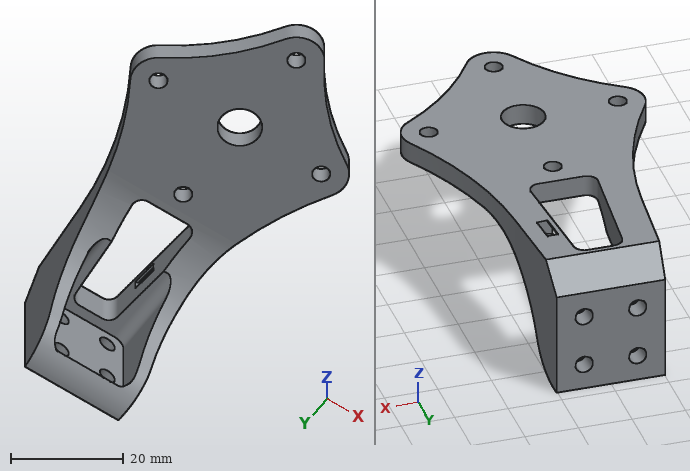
import cadquery as cq
import math

total_length = 75.15
total_width = 45.3
total_height = 25.0
plate_thickness = 4.0
motor_hole_offset = 17.7
lobe_radius = total_width / 2 - motor_hole_offset
screw_diameter = 3.2
centre_hole_diameter = 8.0
front_arc_radius = 48.5

back_y = total_length - motor_hole_offset - lobe_radius
arm_back_half_width = 10.15
arm_taper = math.radians(5)
side_arc_radius = 69.15
top_chamfer = 5.0

foot_radius = 10.0
arch_radius = 24.05

window_wall = 6
window_back_y = back_y - window_wall
window_length = 24.0
window_back_half_width = 4.35
window_corner_radius = 2.0

mount_size = 17.0
mount_corner_radius = 2.0
mount_wall = 4.0
mount_hole_pitch = 10.0

tie_inner_radius = 1.0
tie_outer_radius = 3
tie_width = 5.0
tie_setback = 12.8
tie_back_y = back_y - tie_setback

bottom_z = plate_thickness - total_height
mount_z = bottom_z + foot_radius


def toward(start, angle, distance):
    """Point at a distance from start in the direction of angle (radians)."""
    return (start[0] + distance * math.cos(angle), start[1] + distance * math.sin(angle))


def mirrored(point):
    return (-point[0], point[1])


def make_outline():
    """Plan outline of plate and arm, extruded over the full height."""
    side_lobe = (motor_hole_offset, 0)
    front_lobe = (0, -motor_hole_offset)

    half_gap = motor_hole_offset / math.sqrt(2)
    half_sweep = math.asin(half_gap / (front_arc_radius + lobe_radius))
    diagonal = math.radians(-45)
    side_lobe_end = toward(side_lobe, diagonal - half_sweep, lobe_radius)
    front_lobe_start = toward(front_lobe, diagonal + half_sweep, lobe_radius)
    front_arc_center = toward(side_lobe, diagonal - half_sweep, lobe_radius + front_arc_radius)
    front_arc_middle = toward(front_arc_center, math.radians(135), front_arc_radius)

    back_corner = (arm_back_half_width, back_y)
    across = (back_corner[0] - side_lobe[0]) * math.cos(arm_taper)
    across += (back_corner[1] - side_lobe[1]) * math.sin(arm_taper)
    lobe_angle = arm_taper + math.acos((across + side_arc_radius) / (lobe_radius + side_arc_radius))
    side_arc_center = toward(side_lobe, lobe_angle, lobe_radius + side_arc_radius)
    side_arc_start = toward(side_arc_center, arm_taper + math.pi, side_arc_radius)
    side_arc_middle = toward(side_arc_center, (arm_taper + lobe_angle) / 2 + math.pi, side_arc_radius)
    side_lobe_start = toward(side_lobe, lobe_angle, lobe_radius)

    return (
        cq.Workplane("XY", origin=(0, 0, bottom_z))
        .moveTo(*mirrored(back_corner))
        .lineTo(*back_corner)
        .lineTo(*side_arc_start)
        .threePointArc(side_arc_middle, side_lobe_start)
        .threePointArc(toward(side_lobe, 0, lobe_radius), side_lobe_end)
        .threePointArc(front_arc_middle, front_lobe_start)
        .threePointArc(toward(front_lobe, -math.pi / 2, lobe_radius), mirrored(front_lobe_start))
        .threePointArc(mirrored(front_arc_middle), mirrored(side_lobe_end))
        .threePointArc(toward(mirrored(side_lobe), math.pi, lobe_radius), mirrored(side_lobe_start))
        .threePointArc(mirrored(side_arc_middle), mirrored(side_arc_start))
        .close()
        .extrude(total_height)
    )


def make_side_profile():
    """Side profile (Y, Z) of plate, arch, foot and chamfer, spanning the full width."""
    foot_center = (back_y, mount_z)
    rise = -arch_radius - mount_z
    join_angle = math.asin(rise / (foot_radius + arch_radius))
    arch_center = toward(foot_center, math.pi - join_angle, foot_radius + arch_radius)
    join = toward(foot_center, math.pi - join_angle, foot_radius)
    foot_middle = toward(foot_center, -math.pi / 2 - (math.pi / 2 + join_angle) / 2, foot_radius)
    arch_middle = toward(arch_center, (math.pi / 2 - join_angle) / 2, arch_radius)
    front_y = -motor_hole_offset - lobe_radius
    half_width = motor_hole_offset + lobe_radius
    return (
        cq.Workplane("YZ")
        .moveTo(front_y, plate_thickness)
        .lineTo(back_y - top_chamfer, plate_thickness)
        .lineTo(back_y, plate_thickness - top_chamfer)
        .lineTo(back_y, bottom_z)
        .threePointArc(foot_middle, join)
        .threePointArc(arch_middle, (arch_center[0], 0))
        .lineTo(front_y, 0)
        .close()
        .extrude(half_width, both=True)
    )


def make_motor_holes():
    offsets = [
        (motor_hole_offset, 0),
        (0, motor_hole_offset),
        (-motor_hole_offset, 0),
        (0, -motor_hole_offset),
    ]
    screws = cq.Workplane("XY").pushPoints(offsets).circle(screw_diameter / 2).extrude(plate_thickness)
    centre = cq.Workplane("XY").circle(centre_hole_diameter / 2).extrude(plate_thickness)
    return screws.union(centre)


def make_window():
    front_half_width = window_back_half_width + window_length * math.tan(arm_taper)
    front_y = window_back_y - window_length
    return (
        cq.Workplane("XY", origin=(0, 0, mount_z))
        .polyline([
            (-window_back_half_width, window_back_y),
            (window_back_half_width, window_back_y),
            (front_half_width, front_y),
            (-front_half_width, front_y),
        ])
        .close()
        .extrude(plate_thickness - mount_z)
        .edges("|Z")
        .fillet(window_corner_radius)
    )


def make_mount():
    """Square recess open toward -Y, with four screw holes through the rear wall."""
    floor = cq.Workplane("XZ", origin=(0, back_y - mount_wall, mount_z))
    recess = floor.rect(mount_size, mount_size).extrude(back_y).edges("|Y").fillet(mount_corner_radius)
    holes = (
        floor.rect(mount_hole_pitch, mount_hole_pitch, forConstruction=True)
        .vertices()
        .circle(screw_diameter / 2)
        .extrude(-mount_wall)
    )
    return recess.union(holes)


def make_tie_passage():
    """Ring about the window's top right edge, as wide as the tie and parallel to the window side."""
    edge_x = window_back_half_width + (window_back_y - tie_back_y) * math.tan(arm_taper)
    ring = (
        cq.Workplane("XZ", origin=(edge_x, tie_back_y, plate_thickness))
        .circle(tie_outer_radius)
        .circle(tie_inner_radius)
        .extrude(tie_width)
    )
    return ring.rotate((edge_x, tie_back_y, 0), (edge_x, tie_back_y, 1), math.degrees(arm_taper))


result = (
    make_outline()
    .intersect(make_side_profile())
    .cut(make_motor_holes())
    .cut(make_window())
    .cut(make_mount())
    .cut(make_tie_passage())
)